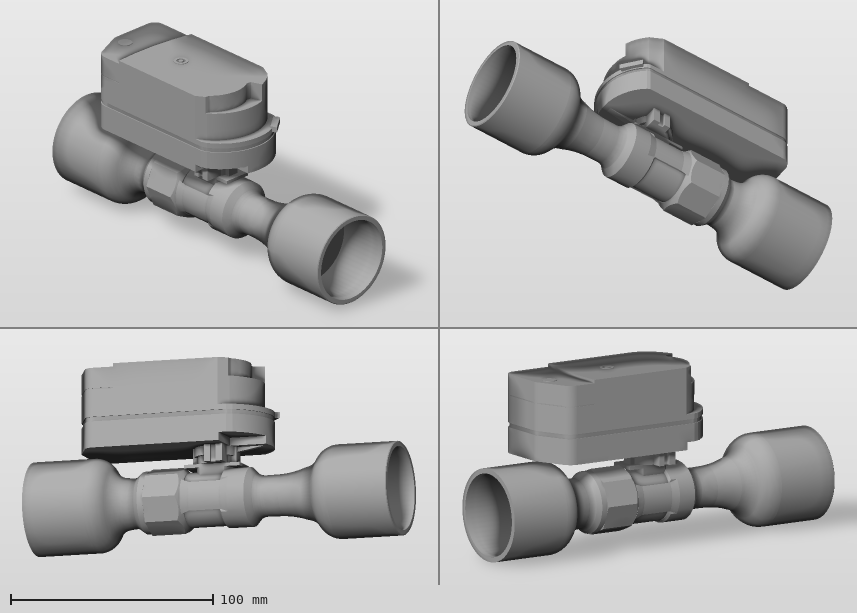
import cadquery as cq


length = 190.0
total_height = 90.8
cup_diameter = 47.0
cup_radius = cup_diameter / 2
cup_length = 31.5
bore_radius = 20.9
bore_depth = 27.4
end_chamfer = 0.4

left_bell_crest = (37.6, 21.7)
left_bell_turn = (40.8, 17.9)
left_bell_hollow = (43.9, 14.5)
left_bell_end = (48.3, 13.0)
left_neck_start = (51.9, 12.5)
left_neck_hollow = (53.5, 13.0)
left_neck_end = (55.0, 13.9)

right_cone_end = (115.9, 11.5)
right_neck_hollow = (117.6, 10.6)
right_neck_start = (120.3, 10.3)
right_neck_end = (121.6, 10.3)
flare_start = (129.2, 10.5)
flare_middle = (135.7, 11.4)
flare_end = (141.5, 13.1)
right_bell_hollow = (146.0, 14.8)
right_bell_turn = (149.0, 17.9)
right_bell_crest = (152.5, 21.7)

collar_start = 57.2
collar_radius = 15.5
octagon_start = 60.2
octagon_end = 80.2
octagon_diameter = 33.2
octagon_radius = octagon_diameter / 2
waist_radius = 13.7
lobe_radius = 11.8
flank_radius = 13.9
flank_start = 79.2
flank_middle_start = 83.2
flank_middle_end = 99.8
flank_end = 103.7
flank_inner = (11.8, 6.8)
flank_outer = (12.2, 9.9)
flange_start = 99.2
flange_shoulder = 1.0
flange_end = 112.7
flange_radius = 14.8

stem_x = 93.7
column_radius = 10.8
column_bottom = 20.7
neck_inset = 1.5
leg_size = (22.6, 5.7)
rib_start = 92.0
rib_end = 101.5
rib_width = 28.3
rib_slot_start = 95.0
rib_slot_end = 97.8
rib_slot_depth = 1.9
pad_radius = 9.7
plate_size = (28.9, 14.5)
plate_bottom = 15.0
plate_top = 16.7
pointer_end = 119.1
pointer_drop = 2.5
pointer_thickness = 2.7

housing_left = 24.7
housing_width = 46.5
housing_half_width = housing_width / 2
housing_bottom = 25.3
screw_height = 0.4
housing_top = total_height - cup_radius - screw_height
base_top = 43.3
corner_radius = 5.1
bevel_start_y = -4.5
bevel_end_x = 33.2
bevel_edge_radius = 6.0
nose_y = 1.0
base_nose = {
    "back_wall_end": 110.2,
    "arc_back": (111.7, 22.6),
    "tip_x": 122.4,
    "arc_front": (109.5, -22.2),
    "front_wall_end": 106.5,
}
upper_nose = {
    "back_wall_end": 102.0,
    "arc_back": (108.7, 20.0),
    "tip_x": 117.2,
    "arc_front": (107.2, -20.0),
    "front_wall_end": 102.0,
}
joint_bottom = 38.4
joint_top = 40.7
joint_depth = 0.5
seam_z = 54.7
seam_width = 0.5
seam_depth = 0.2
low_lid_drop = 1.7
low_lid_top = housing_top - low_lid_drop
low_lid_back_x = 50.5
low_lid_middle = (47.1, -3.8)
low_lid_front_x = 47.5
nose_step_z = 58.0
nose_step_limit_x = 119.7
nose_step_back = [(115.7, 9.7), (110.0, 7.5)]
nose_step_bend = [(109.6, 6.0), (109.8, 4.5)]
nose_step_sweep = [(112.3, -4.4), (110.4, -13.0), (107.0, -18.0)]
nose_step_front = (106.2, -21.8)
underside_notch_x = 102.6
underside_notch_y = -5.7
underside_notch_top = 29.3
dial_tab_outline = [(114.5, 23.0), (122.2, 13.5), (119.0, 12.2), (112.1, 20.5)]
dial_tab_top = 44.3
dial_tab_thickness = 2.8

button_x, button_y = 32.7, -5.0
button_height = 0.4
screw_x, screw_y = 69.2, -1.5
fitting_radius = 3.6
socket_radius = 2.3
pin_radius = 1.1
socket_depth = 0.5


def along_x(profile):
    """Turn an XY half profile into a solid around the pipe axis."""
    return profile.close().revolve(360, (0, 0, 0), (1, 0, 0))


def x_section(x):
    return cq.Workplane("YZ").workplane(offset=x)


def upright_cylinder(x, y, radius, bottom, top):
    return cq.Workplane("XY", origin=(x, y, bottom)).circle(radius).extrude(top - bottom)


def block(x_range, y_range, z_range):
    (x0, x1), (y0, y1), (z0, z1) = x_range, y_range, z_range
    return cq.Workplane("XY").box(x1 - x0, y1 - y0, z1 - z0, centered=False).translate((x0, y0, z0))


def left_pipe():
    shell = along_x(
        cq.Workplane("XY")
        .moveTo(0, 0)
        .lineTo(0, cup_radius)
        .lineTo(cup_length, cup_radius)
        .threePointArc(left_bell_crest, left_bell_turn)
        .threePointArc(left_bell_hollow, left_bell_end)
        .lineTo(*left_neck_start)
        .threePointArc(left_neck_hollow, left_neck_end)
        .lineTo(collar_start, collar_radius)
        .lineTo(octagon_start, collar_radius)
        .lineTo(octagon_start, 0)
    )
    return shell.cut(x_section(0).circle(bore_radius).extrude(bore_depth))


def right_pipe():
    shell = along_x(
        cq.Workplane("XY")
        .moveTo(flange_end, 0)
        .lineTo(flange_end, flange_radius)
        .lineTo(*right_cone_end)
        .threePointArc(right_neck_hollow, right_neck_start)
        .lineTo(*right_neck_end)
        .lineTo(*flare_start)
        .threePointArc(flare_middle, flare_end)
        .threePointArc(right_bell_hollow, right_bell_turn)
        .threePointArc(right_bell_crest, (length - cup_length, cup_radius))
        .lineTo(length - end_chamfer, cup_radius)
        .lineTo(length, cup_radius - end_chamfer)
        .lineTo(length, 0)
    )
    return shell.cut(x_section(length - bore_depth).circle(bore_radius).extrude(bore_depth))


def octagon():
    prism = (
        x_section(octagon_start)
        .polygon(8, octagon_diameter)
        .extrude(octagon_end - octagon_start)
    )
    chamfer = octagon_radius - waist_radius
    turned = along_x(
        cq.Workplane("XY")
        .moveTo(octagon_start, 0)
        .lineTo(octagon_start, octagon_radius)
        .lineTo(octagon_end - chamfer, octagon_radius)
        .lineTo(octagon_end, waist_radius)
        .lineTo(octagon_end, 0)
    )
    return prism.intersect(turned)


def waist():
    """Two round lobes, one above and one below the pipe axis."""
    lobe_offset = waist_radius - lobe_radius
    return (
        x_section(octagon_end)
        .pushPoints([(0, lobe_offset), (0, -lobe_offset)])
        .circle(lobe_radius)
        .extrude(flange_start - octagon_end)
    )


def flank_zones():
    """Space on both sides of the waist that the flanks take up, flared outwards."""
    inner_y, inner_z = flank_inner
    outer_y, outer_z = flank_outer
    far_y = 2 * outer_y
    upper_edge = [(0, inner_z), (inner_y, inner_z), (outer_y, outer_z), (far_y, outer_z)]
    lower_edge = [(y, -z) for y, z in reversed(upper_edge)]
    zone = (
        x_section(flank_start)
        .polyline(upper_edge + lower_edge)
        .close()
        .extrude(flank_end - flank_start)
    )
    return zone.union(zone.mirror("XZ"))


def flank_surface():
    """Turned shape of the flanks, ramping up to the octagon and to the flange."""
    return along_x(
        cq.Workplane("XY")
        .moveTo(flank_start, 0)
        .lineTo(flank_start, flange_radius)
        .lineTo(flank_middle_start, flank_radius)
        .lineTo(flank_middle_end, flank_radius)
        .lineTo(flank_end, flange_radius)
        .lineTo(flank_end, 0)
    )


def flange():
    return along_x(
        cq.Workplane("XY")
        .moveTo(flange_start, 0)
        .lineTo(flange_start, waist_radius)
        .lineTo(flange_start + flange_shoulder, flange_radius)
        .lineTo(flange_end, flange_radius)
        .lineTo(flange_end, 0)
    )


def valve_body():
    body = octagon().union(waist()).union(flange())
    zones = flank_zones()
    surface = flank_surface()
    return body.cut(zones.cut(surface)).union(zones.intersect(surface))


def plate_at_stem(size, bottom, top):
    return cq.Workplane("XY", origin=(stem_x, 0, bottom)).rect(*size).extrude(top - bottom)


def stem():
    column = upright_cylinder(stem_x, 0, column_radius, column_bottom, housing_bottom)
    neck = upright_cylinder(stem_x, 0, column_radius - neck_inset, plate_top, column_bottom)
    legs = plate_at_stem(leg_size, plate_bottom, housing_bottom)
    plate = plate_at_stem(plate_size, plate_bottom, plate_top)
    half_rib = rib_width / 2
    rib = block((rib_start, rib_end), (-half_rib, half_rib), (plate_top, housing_bottom))
    slot_floor = half_rib - rib_slot_depth
    slot = block((rib_slot_start, rib_slot_end), (slot_floor, half_rib), (plate_top, housing_bottom))
    rib = rib.cut(slot).cut(slot.mirror("XZ"))
    pad = upright_cylinder(stem_x, 0, pad_radius, 0, plate_top).intersect(
        plate_at_stem(plate_size, 0, plate_top)
    )
    pointer = (
        cq.Workplane("XZ")
        .moveTo(stem_x, housing_bottom)
        .lineTo(pointer_end, housing_bottom)
        .lineTo(stem_x + leg_size[0] / 2, housing_bottom - pointer_drop)
        .lineTo(stem_x, housing_bottom - pointer_drop)
        .close()
        .extrude(pointer_thickness / 2, both=True)
    )
    return column.union(neck).union(legs).union(plate).union(rib).union(pad).union(pointer)


def housing_layer(nose, bottom, top):
    """Housing outline with the given nose, extruded between two heights."""
    half = housing_half_width
    layer = (
        cq.Workplane("XY", origin=(0, 0, bottom))
        .moveTo(housing_left, half)
        .lineTo(nose["back_wall_end"], half)
        .lineTo(*nose["arc_back"])
        .threePointArc((nose["tip_x"], nose_y), nose["arc_front"])
        .lineTo(nose["front_wall_end"], -half)
        .lineTo(bevel_end_x, -half)
        .lineTo(housing_left, bevel_start_y)
        .close()
        .extrude(top - bottom)
    )
    corners = [
        (housing_left, half, corner_radius),
        (housing_left, bevel_start_y, bevel_edge_radius),
        (bevel_end_x, -half, bevel_edge_radius),
    ]
    for x, y, radius in corners:
        upright_edge = cq.NearestToPointSelector((x, y, (bottom + top) / 2))
        layer = layer.edges(upright_edge).fillet(radius)
    return layer


def base_layer(bottom, top):
    return housing_layer(base_nose, bottom, top)


def upper_layer(bottom, top):
    return housing_layer(upper_nose, bottom, top)


def groove_around(layer, height, depth):
    """Rim of a housing layer, used to cut a groove into the walls."""
    core = layer.faces("<Z").wires().toPending().offset2D(-depth).extrude(height, combine=False)
    return layer.cut(core)


def base():
    body = base_layer(housing_bottom, base_top)
    joint = groove_around(base_layer(joint_bottom, joint_top), joint_top - joint_bottom, joint_depth)
    notch = block(
        (underside_notch_x, length),
        (-length, underside_notch_y),
        (housing_bottom, underside_notch_top),
    )
    dial_tab = (
        cq.Workplane("XY", origin=(0, 0, dial_tab_top))
        .polyline(dial_tab_outline)
        .close()
        .extrude(-dial_tab_thickness)
    )
    return body.cut(joint).cut(notch).union(dial_tab)


def lid():
    body = upper_layer(base_top, housing_top)

    low_end = (
        cq.Workplane("XY", origin=(0, 0, low_lid_top))
        .moveTo(0, housing_half_width)
        .lineTo(low_lid_back_x, housing_half_width)
        .threePointArc(low_lid_middle, (low_lid_front_x, -housing_half_width))
        .lineTo(0, -housing_half_width)
        .close()
        .extrude(housing_top - low_lid_top)
    )

    nose_step = (
        cq.Workplane("XY", origin=(0, 0, nose_step_z))
        .polyline([(nose_step_limit_x, nose_step_back[0][1]), *nose_step_back])
        .threePointArc(*nose_step_bend)
        .spline(nose_step_sweep, includeCurrent=True)
        .lineTo(*nose_step_front)
        .lineTo(nose_step_limit_x, nose_step_front[1])
        .close()
        .extrude(housing_top - nose_step_z)
    )

    seam_bottom = seam_z - seam_width / 2
    seam_top = seam_z + seam_width / 2
    seam = groove_around(upper_layer(seam_bottom, seam_top), seam_width, seam_depth)
    seam = seam.intersect(
        block((0, low_lid_front_x), (-length, housing_half_width - corner_radius), (seam_bottom, seam_top))
    )
    return body.cut(low_end).cut(nose_step).cut(seam)


def lid_fittings():
    button = upright_cylinder(button_x, button_y, fitting_radius, base_top, low_lid_top + button_height)
    screw = upright_cylinder(screw_x, screw_y, fitting_radius, base_top, housing_top + screw_height)
    return button.union(screw)


def screw_socket():
    top = housing_top + screw_height
    socket = upright_cylinder(screw_x, screw_y, socket_radius, top - socket_depth, top)
    return socket.cut(upright_cylinder(screw_x, screw_y, pin_radius, top - socket_depth, top))


valve = left_pipe().union(valve_body()).union(right_pipe())
actuator = base().union(lid()).union(lid_fittings()).cut(screw_socket())
result = valve.union(stem()).union(actuator)